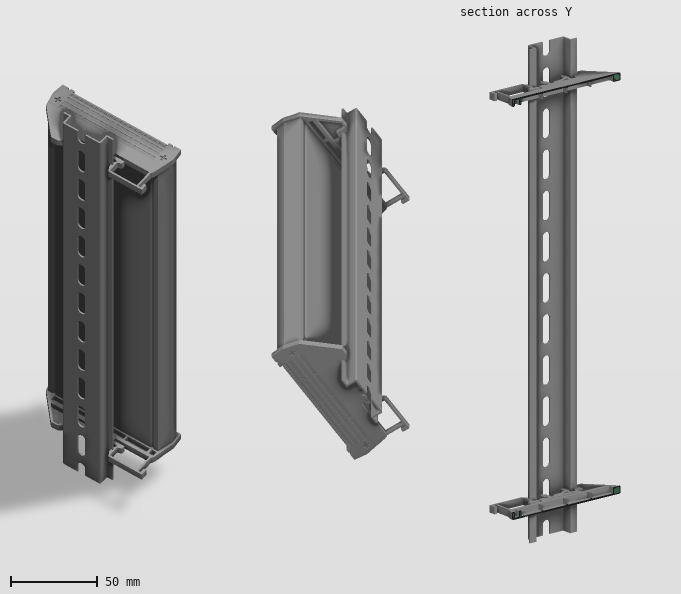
import cadquery as cq

RAIL_LENGTH = 300.0
RAIL_WIDTH = 35.0
RAIL_CHANNEL_WIDTH = 27.0
RAIL_HEIGHT = 7.5
RAIL_SHEET = 1.0
RAIL_BACK_Y = -19.8
RAIL_OUTER_BEND_RADIUS = 1.0
RAIL_BRIM_BEND_RADIUS = 0.5
RAIL_BRIM_TOP_Y = RAIL_BACK_Y + RAIL_HEIGHT
RAIL_BRIM_BOTTOM_Y = RAIL_BRIM_TOP_Y - RAIL_SHEET
RAIL_SLOT_LENGTH = 18.0
RAIL_SLOT_WIDTH = 5.5
RAIL_SLOT_COUNT = 13
RAIL_SLOT_PITCH = RAIL_LENGTH / (RAIL_SLOT_COUNT - 1)

HALF_WIDTH = 43.2
WAIST_Y = 11.5
TRAY_FLOOR_Y = 1.35
TRAY_TOP_Y = 16.8

CAP_OUTER_Z = 127.8
CAP_THICKNESS = 4.5
TRAY_LENGTH = 2 * (CAP_OUTER_Z - CAP_THICKNESS)
TRAY_HALF_WIDTH = 42.0
TRAY_TOP_HALF_WIDTH = 41.5
TRAY_FOOT_HALF_WIDTH = 39.3
TRAY_INNER_HALF_WIDTH = 32.5
TRAY_FLOOR_THICKNESS = 1.5
GROOVE_OUTER_X = 36.5
GROOVE_DEEPEST_X = 34.8
GROOVE_INNER_X = 34.0
GROOVE_DEPTH = 1.0
CHANNEL_HALF_WIDTH = 6.3
CHANNEL_DEPTH = 0.5

COVER_HALF_WIDTH = 33.5
COVER_THICKNESS = 1.2

POST_TOP_Y = 19.8
POST_INNER_X = 34.0
POST_OUTER_X = 42.3
POST_NOTCH_X = 37.2
POST_NOTCH_SIZE = 1.2
CAP_BOTTOM_Y = -5.0
FOOT_BOTTOM_Y = -16.8
BAR_LEFT_X = -13.8
BAR_RIGHT_X = 13.5
BAR_BOTTOM_Y = -8.7
BAR_HOLLOW_BOTTOM_Y = -6.5
PAD_LEFT_X = 8.7
TONGUE_LENGTH = 1.8

RIM_WALL = 1.0
WEB_THICKNESS = 0.75
CELL_BAND = (-3.0, 0.3)
END_CELL_INNER_X = 35.7
END_CELL_OUTER_X = 39.0
CORNER_CELL_INNER_X = 34.5
CORNER_CELL_OUTER_X = 38.7
CORNER_CELLS = [(15.0, 16.2), (17.0, 18.3)]
SIDE_CELL_INNER_X = 39.3
SIDE_CELL_OUTER_X = 41.0
SIDE_CELL_YS = (12.5, 17.5)

FIELD_DEPTH = 0.3
FIELD_BOTTOM_Y = 3.3
POCKET_DEPTH = 0.5
POCKET_HALF_WIDTH = 34.2
POCKET_WEB = 1.0
POCKET_WEB_XS = (-18.0, 0.0, 18.0)
LONG_POCKETS = [(7.8, 10.2), (15.0, 16.2)]
SPLIT_POCKETS = [(4.2, 6.5), (11.5, 13.8)]

SCREW_XS = (-37.8, 37.8)
SCREW_Y = 8.7
SCREW_HEAD_DIAMETER = 7.2
SCREW_HEAD_HEIGHT = 1.8
SCREW_SHANK_DIAMETER = 3.0
SCREW_LENGTH = 12.0
SCREW_RECESS_LENGTH = 4.5
SCREW_RECESS_WIDTH = 1.2
SCREW_RECESS_DEPTH = 1.0


def mirrored(half_outline):
    """Complete a left half outline with its mirror image across X = 0."""
    return half_outline + [(-x, y) for x, y in reversed(half_outline)]


def prism(points, bottom_z, top_z):
    """Closed polygon in XY, extruded between two heights."""
    return cq.Workplane("XY", origin=(0, 0, bottom_z)).polyline(points).close().extrude(top_z - bottom_z)


def block(x_min, x_max, y_min, y_max, z_min, z_max):
    """Axis-aligned box given by its limits."""
    return cq.Workplane("XY", origin=(x_min, y_min, z_min)).box(
        x_max - x_min, y_max - y_min, z_max - z_min, centered=False
    )


def make_rail():
    """Top-hat rail with a row of slots, the first and last of which run out of its ends."""
    brim_x = RAIL_WIDTH / 2
    channel_x = RAIL_CHANNEL_WIDTH / 2
    inner_x = channel_x - RAIL_SHEET
    outside = [(-brim_x, RAIL_BRIM_BOTTOM_Y), (-channel_x, RAIL_BRIM_BOTTOM_Y), (-channel_x, RAIL_BACK_Y)]
    inside = [(-inner_x, RAIL_BACK_Y + RAIL_SHEET), (-inner_x, RAIL_BRIM_TOP_Y), (-brim_x, RAIL_BRIM_TOP_Y)]
    outer_half = mirrored(outside)
    inner_half = [(-x, y) for x, y in mirrored(inside[::-1])]
    rail = prism(outer_half + inner_half, -RAIL_LENGTH / 2, RAIL_LENGTH / 2)
    rail = rail.edges("|Z and <Y").fillet(RAIL_OUTER_BEND_RADIUS)
    for x in (-channel_x, channel_x):
        brim_bend = cq.selectors.NearestToPointSelector((x, RAIL_BRIM_BOTTOM_Y, 0))
        rail = rail.edges("|Z").edges(brim_bend).fillet(RAIL_BRIM_BEND_RADIUS)
    slots = (
        cq.Workplane("XZ", origin=(0, RAIL_BACK_Y + RAIL_SHEET, 0))
        .rarray(3, RAIL_SLOT_PITCH, 1, RAIL_SLOT_COUNT)
        .slot2D(RAIL_SLOT_LENGTH, RAIL_SLOT_WIDTH, 90)
        .extrude(RAIL_SHEET)
    )
    return rail.cut(slots)


def make_tray():
    """Open-topped tray with thick walls for the screws, and grooves and a channel under its floor."""
    left_half = [
        (-TRAY_INNER_HALF_WIDTH, TRAY_FLOOR_Y + TRAY_FLOOR_THICKNESS),
        (-TRAY_INNER_HALF_WIDTH, TRAY_TOP_Y),
        (-TRAY_TOP_HALF_WIDTH, TRAY_TOP_Y),
        (-TRAY_HALF_WIDTH, WAIST_Y),
        (-TRAY_FOOT_HALF_WIDTH, TRAY_FLOOR_Y),
        (-GROOVE_OUTER_X, TRAY_FLOOR_Y),
        (-GROOVE_DEEPEST_X, TRAY_FLOOR_Y + GROOVE_DEPTH),
        (-GROOVE_INNER_X, TRAY_FLOOR_Y),
        (-CHANNEL_HALF_WIDTH, TRAY_FLOOR_Y),
        (-CHANNEL_HALF_WIDTH, TRAY_FLOOR_Y + CHANNEL_DEPTH),
    ]
    return prism(mirrored(left_half), -TRAY_LENGTH / 2, TRAY_LENGTH / 2)


def make_cover():
    """Flat plate that closes the open top of the tray and reaches over both caps."""
    return block(
        -COVER_HALF_WIDTH, COVER_HALF_WIDTH, TRAY_TOP_Y, TRAY_TOP_Y + COVER_THICKNESS,
        -CAP_OUTER_Z, CAP_OUTER_Z,
    )


def cap_plate():
    """Main plate of the cap with a post at each upper corner and the sloping foot at the left."""
    left_side = [
        (-POST_INNER_X, TRAY_TOP_Y),
        (-POST_INNER_X, POST_TOP_Y),
        (-POST_OUTER_X, POST_TOP_Y),
        (-HALF_WIDTH, WAIST_Y),
        (-40.8, TRAY_FLOOR_Y),
    ]
    foot = [
        (-24.0, FOOT_BOTTOM_Y),
        (-19.5, FOOT_BOTTOM_Y),
        (-16.8, -15.0),
        (-16.8, RAIL_BRIM_BOTTOM_Y),
        (-RAIL_WIDTH / 2, RAIL_BRIM_BOTTOM_Y),
        (-RAIL_WIDTH / 2, RAIL_BRIM_TOP_Y),
        (-15.0, RAIL_BRIM_TOP_Y),
        (BAR_LEFT_X, -10.0),
    ]
    bar = [
        (BAR_LEFT_X, BAR_BOTTOM_Y),
        (BAR_RIGHT_X, BAR_BOTTOM_Y),
        (BAR_RIGHT_X, CAP_BOTTOM_Y),
    ]
    right_side = [
        (39.3, CAP_BOTTOM_Y),
        (40.2, -3.0),
        (41.0, TRAY_FLOOR_Y),
        (HALF_WIDTH, WAIST_Y),
        (POST_OUTER_X, POST_TOP_Y),
        (POST_INNER_X, POST_TOP_Y),
        (POST_INNER_X, TRAY_TOP_Y),
    ]
    return prism(left_side + foot + bar + right_side, -CAP_THICKNESS, 0)


def spring_latch():
    """Thin leg, bottom strip with a finger tab, and the claw that grips the right rail brim."""
    outline = [
        (37.8, CAP_BOTTOM_Y),
        (37.8, -17.5),
        (18.5, -17.5),
        (18.5, -10.2),
        (21.3, -9.3),
        (21.3, -7.0),
        (14.5, -7.0),
        (14.5, -8.7),
        (18.0, -9.3),
        (16.0, RAIL_BRIM_TOP_Y),
        (RAIL_WIDTH / 2, RAIL_BRIM_TOP_Y),
        (RAIL_WIDTH / 2, RAIL_BRIM_BOTTOM_Y),
        (16.5, RAIL_BRIM_BOTTOM_Y),
        (16.5, -15.5),
        (18.5, -18.5),
        (42.3, -18.5),
        (42.3, -14.0),
        (40.5, -14.0),
        (40.5, -17.5),
        (39.0, -17.5),
        (39.0, CAP_BOTTOM_Y),
    ]
    return prism(outline, -CAP_THICKNESS, 0)


def rail_spring():
    """Bowed arm reaching into the rail channel at the left, hung from the bar by two struts."""
    outline = [
        (-10.8, BAR_BOTTOM_Y),
        (-10.0, -10.0),
        (-11.5, -12.0),
        (-11.5, -15.0),
        (-10.0, -17.0),
        (-9.0, -17.0),
        (-8.0, -15.3),
        (-8.0, -12.5),
        (-3.5, -10.8),
        (0.5, -10.8),
        (3.5, BAR_BOTTOM_Y),
    ]
    opening = [(-8.7, BAR_BOTTOM_Y), (-3.5, BAR_BOTTOM_Y), (-5.7, -10.2), (-8.7, -10.8)]
    arm = prism(outline, -CAP_THICKNESS, 0)
    return arm.cut(prism(opening, -CAP_THICKNESS, 0))


def center_peg():
    """Pointed peg reaching down into the rail channel."""
    outline = [
        (4.2, BAR_BOTTOM_Y),
        (4.2, -13.0),
        (6.0, -16.0),
        (7.0, -16.0),
        (8.0, -14.5),
        (8.0, -11.0),
        (6.0, -10.5),
        (6.0, BAR_BOTTOM_Y),
    ]
    return prism(outline, -CAP_THICKNESS, 0)


def bar_pad():
    """Pad with bevelled lower corners at the right end of the bar."""
    outline = [
        (PAD_LEFT_X, BAR_BOTTOM_Y),
        (9.5, -9.5),
        (12.5, -9.5),
        (BAR_RIGHT_X, BAR_BOTTOM_Y),
    ]
    return prism(outline, -CAP_THICKNESS, 0)


def inner_tongue():
    """Tongue on the inner side of the cap that enters the channel under the tray floor."""
    return block(
        -CHANNEL_HALF_WIDTH, CHANNEL_HALF_WIDTH, TRAY_FLOOR_Y, TRAY_FLOOR_Y + CHANNEL_DEPTH,
        -CAP_THICKNESS - TONGUE_LENGTH, -CAP_THICKNESS,
    )


def split_band(y_min, y_max):
    """Limits of the four rectangles left when the webs divide a band."""
    left_ends = [-POCKET_HALF_WIDTH] + [x + POCKET_WEB / 2 for x in POCKET_WEB_XS]
    right_ends = [x - POCKET_WEB / 2 for x in POCKET_WEB_XS] + [POCKET_HALF_WIDTH]
    return [(left, right, y_min, y_max) for left, right in zip(left_ends, right_ends)]


def inner_hollows():
    """Hollows in the foot, bar, corners and lower edge, open inward and closed outside by a thin web."""
    foot_hollow = [
        (-32.7, CAP_BOTTOM_Y),
        (-23.0, FOOT_BOTTOM_Y + RIM_WALL),
        (-19.2, FOOT_BOTTOM_Y + RIM_WALL),
        (-19.2, -9.5),
        (-15.0, -9.5),
        (-15.0, CAP_BOTTOM_Y),
    ]
    cells = split_band(*CELL_BAND)
    cells.append((END_CELL_INNER_X, END_CELL_OUTER_X, *CELL_BAND))
    cells.append((BAR_LEFT_X, PAD_LEFT_X, BAR_HOLLOW_BOTTOM_Y, CAP_BOTTOM_Y))
    corner_cells = [(CORNER_CELL_INNER_X, CORNER_CELL_OUTER_X, *band) for band in CORNER_CELLS]
    corner_cells.append((SIDE_CELL_INNER_X, SIDE_CELL_OUTER_X, *SIDE_CELL_YS))
    cells += corner_cells
    cells += [(-outer, -inner, *band) for inner, outer, *band in corner_cells]
    hollows = [block(*cell, -CAP_THICKNESS, -WEB_THICKNESS) for cell in cells]
    return hollows + [prism(foot_hollow, -CAP_THICKNESS, -WEB_THICKNESS)]


def face_pockets():
    """Pockets in the outer face: full-width bands, and bands split by webs."""
    limits = [(-POCKET_HALF_WIDTH, POCKET_HALF_WIDTH, *band) for band in LONG_POCKETS]
    for band in SPLIT_POCKETS:
        limits += split_band(*band)
    return [block(*limit, -POCKET_DEPTH, 0) for limit in limits]


def cap_cuts():
    """Field, notches and pockets cut into the outer face of the cap."""
    field = block(-HALF_WIDTH, HALF_WIDTH, FIELD_BOTTOM_Y, POST_TOP_Y, -FIELD_DEPTH, 0)
    notches = [
        block(
            x - POST_NOTCH_SIZE / 2, x + POST_NOTCH_SIZE / 2,
            POST_TOP_Y - POST_NOTCH_SIZE, POST_TOP_Y, -CAP_THICKNESS, 0,
        )
        for x in (-POST_NOTCH_X, POST_NOTCH_X)
    ]
    return [field] + notches + face_pockets()


def screw_blank():
    """Head and shank of one screw, its head flush with the recessed field of the cap."""
    head_plane = cq.Workplane("XY", origin=(0, 0, -FIELD_DEPTH))
    head = head_plane.circle(SCREW_HEAD_DIAMETER / 2).extrude(-SCREW_HEAD_HEIGHT)
    return head.faces("<Z").workplane().circle(SCREW_SHANK_DIAMETER / 2).extrude(SCREW_LENGTH)


def make_screw():
    """Cross-recessed screw pointing down from the head."""
    recess_plane = cq.Workplane("XY", origin=(0, 0, -FIELD_DEPTH))
    slot = recess_plane.rect(SCREW_RECESS_LENGTH, SCREW_RECESS_WIDTH).extrude(-SCREW_RECESS_DEPTH)
    cross_slot = recess_plane.rect(SCREW_RECESS_WIDTH, SCREW_RECESS_LENGTH).extrude(-SCREW_RECESS_DEPTH)
    return screw_blank().cut(slot).cut(cross_slot)


def make_cap():
    """One-piece end cap whose outer face lies at Z = 0."""
    cap = cap_plate()
    for feature in (spring_latch(), rail_spring(), center_peg(), bar_pad(), inner_tongue()):
        cap = cap.union(feature)
    for cut in cap_cuts() + inner_hollows():
        cap = cap.cut(cut)
    for x in SCREW_XS:
        cap = cap.cut(screw_blank().translate((x, SCREW_Y, 0)))
    return cap


def at_both_ends(body):
    """Copies of a body made for Z = 0, set at the upper end and mirrored to the lower end."""
    upper = body.translate((0, 0, CAP_OUTER_Z))
    return [upper, upper.mirror("XY")]


rail = make_rail()
cover = make_cover()
caps = at_both_ends(make_cap())

screws = []
tray = make_tray()
for screw_x in SCREW_XS:
    screw_place = (screw_x, SCREW_Y, 0)
    screws += at_both_ends(make_screw().translate(screw_place))
    for screw_hole in at_both_ends(screw_blank().translate(screw_place)):
        tray = tray.cut(screw_hole)

bodies = [rail, tray, cover] + caps + screws
result = cq.Compound.makeCompound([body.val() for body in bodies])